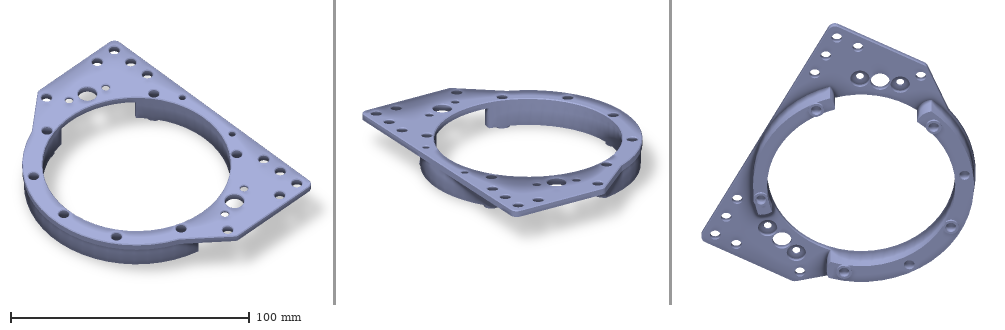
import cadquery as cq
import math

PLATE_THICKNESS = 3.0
RING_HEIGHT = 9.4
BOSS_HEIGHT = 1.0
PLATE_BOTTOM = -PLATE_THICKNESS
RING_BOTTOM = PLATE_BOTTOM - RING_HEIGHT
BOSS_BOTTOM = RING_BOTTOM - BOSS_HEIGHT
TOTAL_HEIGHT = -BOSS_BOTTOM

WIDTH = 120.0
HALF_WIDTH = WIDTH / 2
BACK_Y = 45.4
SIDE_END_Y = 0.5
PLATE_ROUND_RADIUS = 48.0
TAPER_END_ANGLE = 22.2
CORNER_RADIUS = 3.0
EDGE_CHAMFER = 0.4

BORE_DIAMETER = 79.0
FRONT_RING_RADIUS = 47.3
FRONT_RING_END_RADIUS = 7.3
BACK_RING_RADIUS = BACK_Y
BACK_RING_END_RADIUS = 7.9

BOLT_CIRCLE_RADIUS = 42.5
BOLT_COUNT = 5
BOLT_STEP = 360 / BOLT_COUNT
FRONT_ANGLE = -90
BOSS_DIAMETER = 6.5

BOLT_HOLE_DIAMETER = 4.5
CORNER_HOLE_X = 55.0
CORNER_HOLE_Y = 40.3
CORNER_HOLE_PITCH = 10.0
BACK_ROW_COUNT = 3
SIDE_HOLE = (54.6, 0.4)
FRONT_HOLE = (25.0, -35.9)
LARGE_HOLE_DIAMETER = 8.0
LARGE_HOLE = (44.3, 14.3)
SMALL_HOLE_DIAMETER = 3.4
SMALL_HOLE_LAND = 1.1
COUNTERBORE_DIAMETER = 8.0
SMALL_HOLE_OFFSET = (2.6, 8.2)
BLIND_HOLE_DIAMETER = 2.8
BLIND_HOLE = (15.0, 41.3)
BLIND_HOLE_DEPTH = 6.0
HOLE_CHAMFER = 0.4


def on_circle(radius, degrees):
    angle = math.radians(degrees)
    return radius * math.cos(angle), radius * math.sin(angle)


def mirrored(points):
    return [(side * x, y) for x, y in points for side in (-1, 1)]


def cylinders(points, diameter, bottom, top):
    discs = cq.Workplane("XY").workplane(offset=bottom).pushPoints(points)
    return discs.circle(diameter / 2).extrude(top - bottom)


def drill(body, points, diameter, depth):
    """Holes from the top face, each with a chamfered mouth."""
    mouth = cq.Solid.makeCone(diameter / 2, diameter / 2 + HOLE_CHAMFER, HOLE_CHAMFER)
    mouth = mouth.translate(cq.Vector(0, 0, -HOLE_CHAMFER))
    mouths = cq.Workplane("XY").pushPoints(points).eachpoint(lambda place: mouth.moved(place))
    return body.cut(cylinders(points, diameter, -depth, 0)).cut(mouths)


def make_plate():
    taper_x, taper_y = on_circle(PLATE_ROUND_RADIUS, -TAPER_END_ANGLE)
    plate = (
        cq.Workplane("XY")
        .workplane(offset=PLATE_BOTTOM)
        .moveTo(-HALF_WIDTH, BACK_Y)
        .lineTo(HALF_WIDTH, BACK_Y)
        .lineTo(HALF_WIDTH, SIDE_END_Y)
        .lineTo(taper_x, taper_y)
        .threePointArc((0, -PLATE_ROUND_RADIUS), (-taper_x, taper_y))
        .lineTo(-HALF_WIDTH, SIDE_END_Y)
        .close()
        .extrude(PLATE_THICKNESS)
    )
    plate = plate.edges("|Z").fillet(CORNER_RADIUS)
    bore = cylinders([(0, 0)], BORE_DIAMETER, PLATE_BOTTOM, 0)
    return plate.cut(bore).faces(">Z").edges().chamfer(EDGE_CHAMFER)


def make_ring_piece(first_bolt, last_bolt, outer_radius, end_radius):
    """Ring sector between two bolts, with each end rounded about its bolt."""
    reach = 2 * outer_radius
    first_angle = FRONT_ANGLE + first_bolt * BOLT_STEP
    last_angle = FRONT_ANGLE + last_bolt * BOLT_STEP
    middle_angle = (first_angle + last_angle) / 2
    sector = (
        cq.Workplane("XY")
        .workplane(offset=RING_BOTTOM)
        .polyline(
            [
                (0, 0),
                on_circle(reach, first_angle),
                on_circle(reach, middle_angle),
                on_circle(reach, last_angle),
            ]
        )
        .close()
        .extrude(RING_HEIGHT)
    )
    ends = [on_circle(BOLT_CIRCLE_RADIUS, angle) for angle in (first_angle, last_angle)]
    sector = sector.union(cylinders(ends, 2 * end_radius, RING_BOTTOM, PLATE_BOTTOM))
    ring = cylinders([(0, 0)], 2 * outer_radius, RING_BOTTOM, PLATE_BOTTOM)
    return sector.intersect(ring)


bolts = [on_circle(BOLT_CIRCLE_RADIUS, FRONT_ANGLE + i * BOLT_STEP) for i in range(BOLT_COUNT)]

front_piece = make_ring_piece(-1, 1, FRONT_RING_RADIUS, FRONT_RING_END_RADIUS)
back_piece = make_ring_piece(2, 3, BACK_RING_RADIUS, BACK_RING_END_RADIUS)
lower = front_piece.union(back_piece)
lower = lower.union(cylinders(bolts, BOSS_DIAMETER, BOSS_BOTTOM, RING_BOTTOM))
lower = lower.cut(cylinders([(0, 0)], BORE_DIAMETER, BOSS_BOTTOM, PLATE_BOTTOM))
body = make_plate().union(lower)

corner_holes = [(CORNER_HOLE_X - i * CORNER_HOLE_PITCH, CORNER_HOLE_Y) for i in range(BACK_ROW_COUNT)]
corner_holes.append((CORNER_HOLE_X, CORNER_HOLE_Y - CORNER_HOLE_PITCH))
bolt_size_holes = bolts + mirrored(corner_holes + [SIDE_HOLE, FRONT_HOLE])
large_x, large_y = LARGE_HOLE
offset_x, offset_y = SMALL_HOLE_OFFSET
small_holes = [(large_x - offset_x, large_y + offset_y), (large_x + offset_x, large_y - offset_y)]

result = drill(body, bolt_size_holes, BOLT_HOLE_DIAMETER, TOTAL_HEIGHT)
result = drill(result, mirrored([LARGE_HOLE]), LARGE_HOLE_DIAMETER, TOTAL_HEIGHT)
result = drill(result, mirrored(small_holes), SMALL_HOLE_DIAMETER, TOTAL_HEIGHT)
counterbores = cylinders(mirrored(small_holes), COUNTERBORE_DIAMETER, PLATE_BOTTOM, -SMALL_HOLE_LAND)
result = result.cut(counterbores)
result = drill(result, mirrored([BLIND_HOLE]), BLIND_HOLE_DIAMETER, BLIND_HOLE_DEPTH)